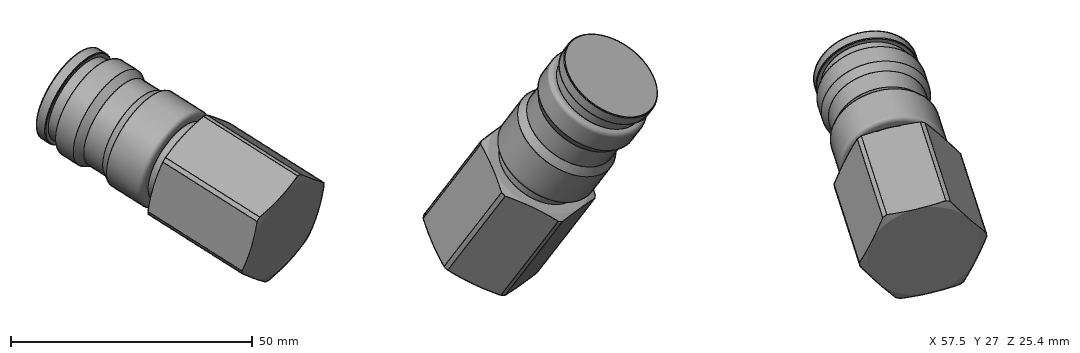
import cadquery as cq
import math

TOTAL_LENGTH = 57.5
LIP_END = 2.55
SLEEVE_START = 5.25
WAIST_CONE_WIDTH = 1.9
WAIST_START = 12.35
WAIST_END = 17.4
SLEEVE_END = 28.7
HEX_START = 31.45

LIP_DIAMETER = 22.0
FRONT_NECK_DIAMETER = 20.05
BARREL_DIAMETER = 19.0
SLEEVE_DIAMETER = 23.2
WAIST_DIAMETER = 21.0

LIP_CHAMFER = 0.2
SLEEVE_FILLET = 1.0

HEX_ACROSS_FLATS = 24.0
HEX_CORNER_DIAMETER = 27.1
HEX_END_DIAMETER = 23.85
HEX_CHAMFER_LENGTH = 0.45
HEX_TILT = 7.0

FRONT_X = -TOTAL_LENGTH / 2


def revolve_about_x(points):
    """Turn an (x, radius) outline about the X axis; x is measured from the front face."""
    outline = cq.Workplane("XY", origin=(FRONT_X, 0, 0)).polyline(points).close()
    return outline.revolve(360, (0, 0, 0), (1, 0, 0))


def cylinder(start, end, diameter):
    """Solid cylinder on the X axis between two positions."""
    plane = cq.Workplane("YZ", origin=(FRONT_X + start, 0, 0))
    return plane.circle(diameter / 2).extrude(end - start)


def make_hexagon():
    """Hexagonal wrench section, with turned corners and both ends chamfered."""
    sharp_corner_diameter = HEX_ACROSS_FLATS / math.cos(math.radians(30))
    prism = (
        cq.Workplane("YZ", origin=(FRONT_X + HEX_START, 0, 0))
        .polygon(6, sharp_corner_diameter)
        .extrude(TOTAL_LENGTH - HEX_START)
        .rotate((0, 0, 0), (1, 0, 0), HEX_TILT)
    )
    corner_radius = HEX_CORNER_DIAMETER / 2
    end_radius = HEX_END_DIAMETER / 2
    turned_blank = revolve_about_x([
        (HEX_START, 0),
        (HEX_START, end_radius),
        (HEX_START + HEX_CHAMFER_LENGTH, corner_radius),
        (TOTAL_LENGTH - HEX_CHAMFER_LENGTH, corner_radius),
        (TOTAL_LENGTH, end_radius),
        (TOTAL_LENGTH, 0),
    ])
    return prism.intersect(turned_blank)


def make_body():
    """Coupling body: front lip, front neck, barrel under the sleeve and hexagon."""
    lip = cylinder(0, LIP_END, LIP_DIAMETER).faces("<X or >X").chamfer(LIP_CHAMFER)
    neck = cylinder(LIP_END, SLEEVE_START, FRONT_NECK_DIAMETER)
    barrel = cylinder(SLEEVE_START, HEX_START, BARREL_DIAMETER)
    return lip.union(neck).union(barrel).union(make_hexagon())


def make_sleeve():
    """Release sleeve around the barrel, waisted for grip and rounded at both ends."""
    bore_radius = BARREL_DIAMETER / 2
    outer_radius = SLEEVE_DIAMETER / 2
    waist_radius = WAIST_DIAMETER / 2
    ring = revolve_about_x([
        (SLEEVE_START, bore_radius),
        (SLEEVE_START, outer_radius),
        (WAIST_START - WAIST_CONE_WIDTH, outer_radius),
        (WAIST_START, waist_radius),
        (WAIST_END, waist_radius),
        (WAIST_END + WAIST_CONE_WIDTH, outer_radius),
        (SLEEVE_END, outer_radius),
        (SLEEVE_END, bore_radius),
    ])
    end_rims = cq.selectors.RadiusNthSelector(-1)
    for end in ("<X", ">X"):
        ring = ring.faces(end).edges(end_rims).fillet(SLEEVE_FILLET)
    return ring


body = make_body()
sleeve = make_sleeve()

result = cq.Compound.makeCompound([body.val(), sleeve.val()])